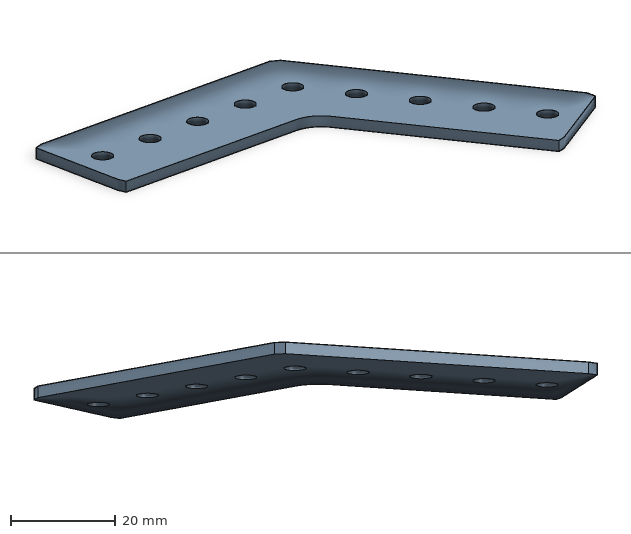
import cadquery as cq
import math

width = 25.0
thickness = 2.3
bend_angle = 60.0
hole_diameter = 4.2
hole_pitch = 12.7
arm_length = 57.0
holes_per_arm = 5
inner_bend_radius = 7.0
outer_bend_chamfer = 1.2

half_width = width / 2
miter = half_width * math.tan(math.radians(bend_angle / 2))

straight_outer_cut = (2.0, 0.7)
inner_cut = (0.5, 1.9)
angled_outer_cut = (2.0, 1.1)


def arm_end(outer_cut):
    """Four end points of an arm along +Y, from its outer (-X) side to its inner side."""
    return [
        (-half_width, arm_length - outer_cut[0]),
        (-half_width + outer_cut[1], arm_length),
        (half_width - inner_cut[1], arm_length),
        (half_width, arm_length - inner_cut[0]),
    ]


def on_angled_arm(point):
    """Turn a point of an arm along +Y clockwise by the bend angle."""
    angle = math.radians(bend_angle)
    x, y = point
    return (
        x * math.cos(angle) + y * math.sin(angle),
        -x * math.sin(angle) + y * math.cos(angle),
    )


outer_corner = (-half_width, miter)
inner_corner = (half_width, -miter)
angled_end = [on_angled_arm(p) for p in arm_end(angled_outer_cut)]
straight_end = [(x, -y) for x, y in arm_end(straight_outer_cut)]
outline = [outer_corner, *angled_end, inner_corner, *reversed(straight_end)]
plate = cq.Workplane("XY").polyline(outline).close().extrude(thickness)


def bend_edge(corner):
    """Select the upright edge at a bend corner."""
    nearest = cq.selectors.NearestToPointSelector((*corner, thickness / 2))
    return plate.edges("|Z").edges(nearest)


plate = bend_edge(outer_corner).chamfer(outer_bend_chamfer)
plate = bend_edge(inner_corner).fillet(inner_bend_radius)

hole_points = [(0, 0)]
for step in range(1, holes_per_arm):
    distance = step * hole_pitch
    hole_points.append((0, -distance))
    hole_points.append(on_angled_arm((0, distance)))

result = plate.cut(
    cq.Workplane("XY").pushPoints(hole_points).circle(hole_diameter / 2).extrude(thickness)
)